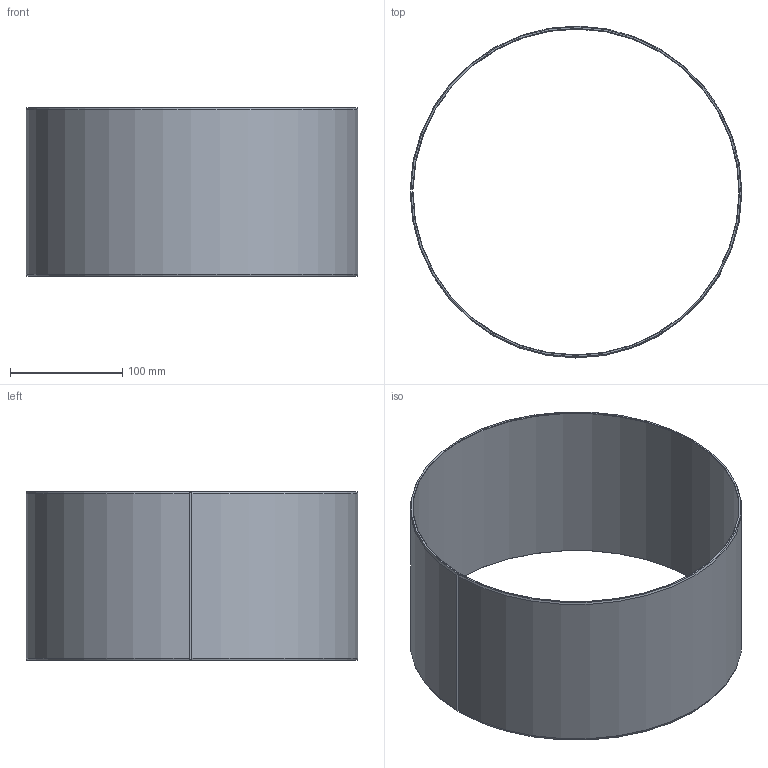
import cadquery as cq

outer_diameter = 295.0
height = 150.0
wall = 2.5

seam_angle = 0.9

outer_bevel_depth = 0.67
outer_bevel_height = 1.85

inner_chamfer = 0.35

outer_radius = outer_diameter / 2
inner_radius = outer_radius - wall
half_height = height / 2


def make_wall_section():
    """Wall cross-section in the XZ plane on the -X side, mirrored about mid-height."""
    rim_outer_radius = outer_radius - outer_bevel_depth
    rim_inner_radius = inner_radius + inner_chamfer
    upper_half = [
        (-outer_radius, half_height - outer_bevel_height),
        (-rim_outer_radius, half_height),
        (-rim_inner_radius, half_height),
        (-inner_radius, half_height - inner_chamfer),
    ]
    lower_half = [(x, -z) for x, z in reversed(upper_half)]
    return cq.Workplane("XZ").polyline(upper_half + lower_half).close()


def make_band():
    """Revolve the wall section about the Z axis from the -X side, stopping short at the seam."""
    return make_wall_section().revolve(360 - seam_angle, (0, 0, 0), (0, 1, 0))


result = make_band()